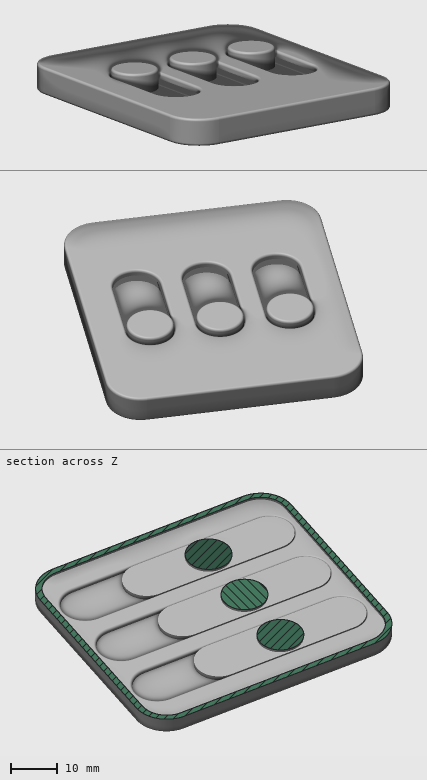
import cadquery as cq

LENGTH = 62.2
WIDTH = 55.9
HOUSING_HEIGHT = 6.05
CORNER_RADIUS = 7.5
EDGE_RADIUS = 0.55
LID_THICKNESS = 1.4
WALL_THICKNESS = 1.5

SLIDER_COUNT = 3
SLOT_PITCH = 15.25
SLOT_WIDTH = 10.45
TRAVEL = 15.25

BASE_HEIGHT = 3.1
CHANNEL_FLOOR = 2.1
CHANNEL_CLEARANCE = 0.05

TOTAL_HEIGHT = 7.45
BUTTON_DIAMETER = 10.15
TONGUE_TOP = BASE_HEIGHT
TONGUE_WIDTH = 10.65
TONGUE_LENGTH = 2 * TRAVEL + TONGUE_WIDTH

CHANNEL_WIDTH = TONGUE_WIDTH + 2 * CHANNEL_CLEARANCE
CHANNEL_LENGTH = TONGUE_LENGTH + TRAVEL + 2 * CHANNEL_CLEARANCE
BUTTON_X = -TRAVEL / 2
SLOT_ROWS = [(i - (SLIDER_COUNT - 1) / 2) * SLOT_PITCH for i in range(SLIDER_COUNT)]


def rounded_plate(inset, height):
    """Plate standing on Z = 0 with the housing outline moved inwards by the inset."""
    plate = cq.Workplane("XY").box(
        LENGTH - 2 * inset, WIDTH - 2 * inset, height, centered=(True, True, False)
    )
    return plate.edges("|Z").fillet(CORNER_RADIUS - inset)


def round_ended_bar(x, y, bottom, top, length, width):
    """Bar along X with semicircular ends, centred on (x, y)."""
    return cq.Workplane("XY", origin=(x, y, bottom)).slot2D(length, width).extrude(top - bottom)


def make_housing():
    """Outer box with rounded rims, slots through the lid and a cavity open at the bottom."""
    lid_underside = HOUSING_HEIGHT - LID_THICKNESS
    housing = rounded_plate(0, HOUSING_HEIGHT)
    for y in SLOT_ROWS:
        slot = round_ended_bar(0, y, lid_underside, HOUSING_HEIGHT, TRAVEL + SLOT_WIDTH, SLOT_WIDTH)
        housing = housing.cut(slot)
    housing = housing.faces("<Z or >Z").edges().fillet(EDGE_RADIUS)
    return housing.cut(rounded_plate(WALL_THICKNESS, lid_underside))


def make_base():
    """Plate filling the housing's bottom opening, with a round-rimmed channel under each slot."""
    base = rounded_plate(WALL_THICKNESS, BASE_HEIGHT)
    for y in SLOT_ROWS:
        base = base.cut(round_ended_bar(0, y, CHANNEL_FLOOR, BASE_HEIGHT, CHANNEL_LENGTH, CHANNEL_WIDTH))
    channel_rims = base.faces(">Z").val().innerWires()
    rim_edges = [edge for rim in channel_rims for edge in rim.Edges()]
    return base.newObject(rim_edges).fillet(EDGE_RADIUS)


def make_slider(y):
    """Tongue lying in its channel, with the button standing up through the slot."""
    button = cq.Workplane("XY", origin=(BUTTON_X, y, TONGUE_TOP)).circle(BUTTON_DIAMETER / 2)
    button = button.extrude(TOTAL_HEIGHT - TONGUE_TOP).faces(">Z").edges().fillet(EDGE_RADIUS)
    tongue = round_ended_bar(BUTTON_X, y, CHANNEL_FLOOR, TONGUE_TOP, TONGUE_LENGTH, TONGUE_WIDTH)
    return tongue.union(button)


housing = make_housing()
base = make_base()
sliders = [make_slider(y) for y in SLOT_ROWS]

result = cq.Compound.makeCompound([housing.val(), base.val(), *[slider.val() for slider in sliders]])